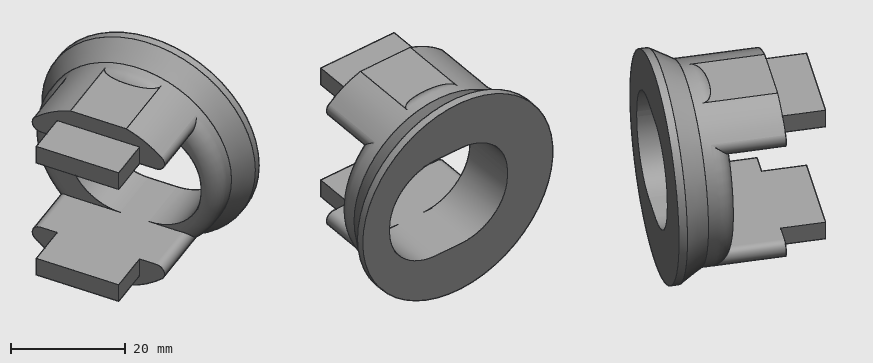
import cadquery as cq
import math

RIM_RADIUS = 20.835
RIM_THICKNESS = 1.5
FLARE_DEPTH = 4.25
BODY_RADIUS = 18.35
RING_DEPTH = 10.8
NOSE_FILLET = 3.35

OPENING_WIDTH = 25.8
OPENING_HEIGHT = 21.36
OPENING_CORNER_RADIUS = 10.1
OPENING_OFFSET = 2.05

ARM_END_DEPTH = 20.75
ARM_FLAT_HEIGHT = 17.52
ARM_SIDE_RADIUS = 1.65
ARM_INNER_HEIGHT = OPENING_HEIGHT / 2

TAB_WIDTH = 16.1
TAB_THICKNESS = 3.72
TAB_LENGTH = 8.0


def ring():
    """Rim, conical flare and body revolved about Y, with a rounded front edge."""
    flare_end = RIM_THICKNESS + FLARE_DEPTH
    nose_start = RING_DEPTH - NOSE_FILLET
    nose_inner_radius = BODY_RADIUS - NOSE_FILLET
    diagonal = NOSE_FILLET * math.sqrt(0.5)
    return (
        cq.Workplane("XY")
        .lineTo(RIM_RADIUS, 0)
        .lineTo(RIM_RADIUS, -RIM_THICKNESS)
        .lineTo(BODY_RADIUS, -flare_end)
        .lineTo(BODY_RADIUS, -nose_start)
        .threePointArc(
            (nose_inner_radius + diagonal, -nose_start - diagonal),
            (nose_inner_radius, -RING_DEPTH),
        )
        .lineTo(0, -RING_DEPTH)
        .close()
        .revolve(360, (0, 0, 0), (0, 1, 0))
    )


def opening():
    """Rounded rectangular cutter through the full depth of the ring."""
    return (
        cq.Workplane("XZ")
        .center(OPENING_OFFSET, 0)
        .rect(OPENING_WIDTH, OPENING_HEIGHT)
        .extrude(RING_DEPTH)
        .edges("|Y")
        .fillet(OPENING_CORNER_RADIUS)
    )


def upper_arm():
    """Arm following the body circle, flattened on top, with a single tangent arc at each side."""
    side_centre_z = ARM_INNER_HEIGHT + ARM_SIDE_RADIUS
    side_centre_distance = BODY_RADIUS - ARM_SIDE_RADIUS
    side_centre_x = math.sqrt(side_centre_distance**2 - side_centre_z**2)

    tangent_scale = BODY_RADIUS / side_centre_distance
    tangent_x = side_centre_x * tangent_scale
    tangent_z = side_centre_z * tangent_scale
    side_x = side_centre_x + ARM_SIDE_RADIUS

    outline = (
        cq.Workplane("XZ")
        .moveTo(-side_centre_x, ARM_INNER_HEIGHT)
        .lineTo(side_centre_x, ARM_INNER_HEIGHT)
        .threePointArc((side_x, side_centre_z), (tangent_x, tangent_z))
        .lineTo(tangent_x, ARM_FLAT_HEIGHT)
        .lineTo(-tangent_x, ARM_FLAT_HEIGHT)
        .lineTo(-tangent_x, tangent_z)
        .threePointArc((-side_x, side_centre_z), (-side_centre_x, ARM_INNER_HEIGHT))
        .close()
        .extrude(ARM_END_DEPTH)
    )
    body_cylinder = cq.Workplane("XZ").circle(BODY_RADIUS).extrude(ARM_END_DEPTH)
    return outline.intersect(body_cylinder)


def upper_tab():
    """Rectangular tab continuing the inner face of the arm."""
    return (
        cq.Workplane("XZ", origin=(0, -ARM_END_DEPTH, 0))
        .center(0, ARM_INNER_HEIGHT + TAB_THICKNESS / 2)
        .rect(TAB_WIDTH, TAB_THICKNESS)
        .extrude(TAB_LENGTH)
    )


upper_leg = upper_arm().union(upper_tab())
lower_leg = upper_leg.mirror("XY")

result = ring().cut(opening()).union(upper_leg).union(lower_leg)